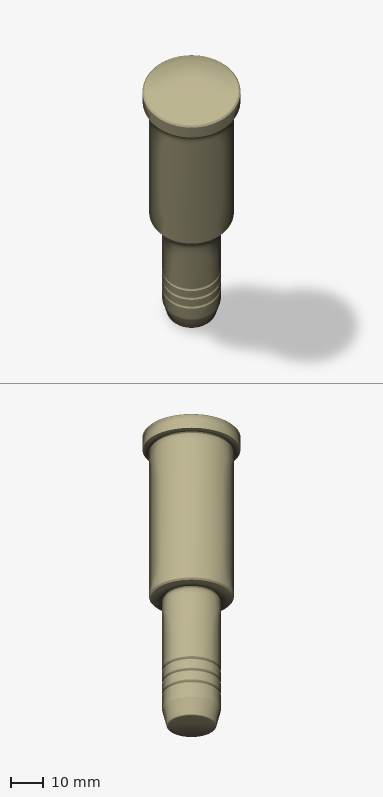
import cadquery as cq

total_length = 100.0
head_height = 5.0
shank_bottom = 44.0
nose_height = 5.5

head_radius = 15.0
shank_radius = 13.0
pin_radius = 9.0
nose_end_radius = 7.7

edge_chamfer = 0.5
tip_rounding = 0.5
undercut_height = 0.8
undercut_depth = 0.5
undercut_bevel_height = 0.2
neck_depth = 0.6
neck_height = 1.2

groove_count = 3
groove_pitch = 4.0
groove_width = 1.0
groove_depth = 0.5
lowest_groove_center = 11.0

head_bottom = total_length - head_height
shank_top = head_bottom - undercut_height
undercut_radius = shank_radius - undercut_depth
neck_radius = pin_radius - neck_depth


def pin_body():
    """Revolve the stepped half profile about the Z axis."""
    profile = (
        cq.Workplane("XZ")
        .moveTo(0, 0)
        .lineTo(nose_end_radius - tip_rounding, 0)
        .radiusArc((nose_end_radius, tip_rounding), -tip_rounding)
        .lineTo(pin_radius, nose_height)
        .lineTo(pin_radius, shank_bottom - neck_height)
        .lineTo(neck_radius, shank_bottom)
        .lineTo(shank_radius - edge_chamfer, shank_bottom)
        .lineTo(shank_radius, shank_bottom + edge_chamfer)
        .lineTo(shank_radius, shank_top)
        .lineTo(undercut_radius, shank_top + undercut_bevel_height)
        .lineTo(undercut_radius, head_bottom)
        .lineTo(head_radius, head_bottom)
        .lineTo(head_radius, total_length - edge_chamfer)
        .lineTo(head_radius - edge_chamfer, total_length)
        .lineTo(0, total_length)
        .close()
    )
    return profile.revolve(360, (0, 0, 0), (0, 1, 0))


def ring_groove(center_height):
    """Ring of V section to remove from the pin surface."""
    half_width = groove_width / 2
    section = (
        cq.Workplane("XZ")
        .moveTo(pin_radius, center_height - half_width)
        .lineTo(pin_radius - groove_depth, center_height)
        .lineTo(pin_radius, center_height + half_width)
        .close()
    )
    return section.revolve(360, (0, 0, 0), (0, 1, 0))


result = pin_body()
for index in range(groove_count):
    result = result.cut(ring_groove(lowest_groove_center + index * groove_pitch))